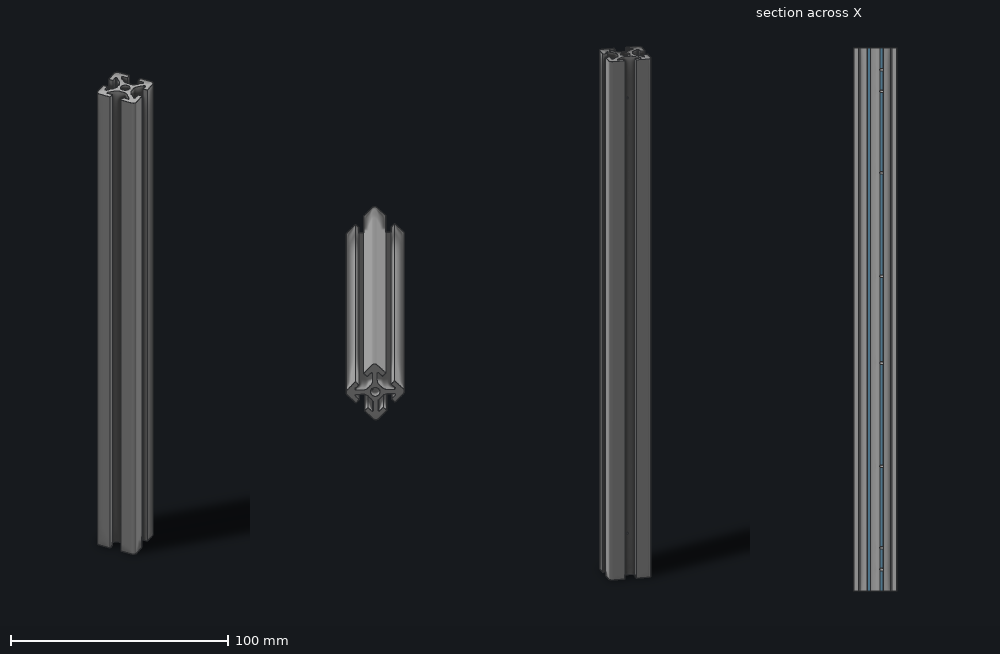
import cadquery as cq
import math

length = 250.0
width = 20.0
corner_radius = 1.8

slot_width = 5.5
lip_thickness = 2.2
arm_offset = 1.5
chamber_width = 11.0
core_half = 3.8
floor_width = 2.0
bore_diameter = 4.2

pin_hole_diameter = 1.0
front_hole_heights = [10.0, 20.0, 57.5, 105.0, 145.0, 192.5, 230.0, 240.0]
left_hole_heights = [20.0, 230.0]


def slot_cutter():
    """T-slot opening toward +Y, running the full length."""
    half = width / 2
    mouth = slot_width / 2
    lip_y = half - lip_thickness
    wall = chamber_width / 2
    flat = floor_width / 2

    tangent = core_half - arm_offset - flat
    radius = tangent / math.tan(math.radians(22.5))
    end_x = flat + tangent * (1 + math.sqrt(0.5))
    end_y = core_half + tangent * math.sqrt(0.5)
    mid_x = flat + radius * math.sin(math.radians(22.5))
    mid_y = core_half + radius * (1 - math.cos(math.radians(22.5)))

    return (
        cq.Workplane("XY")
        .moveTo(-flat, core_half)
        .lineTo(flat, core_half)
        .threePointArc((mid_x, mid_y), (end_x, end_y))
        .lineTo(wall, wall + arm_offset)
        .lineTo(wall, lip_y)
        .lineTo(mouth, lip_y)
        .lineTo(mouth, half)
        .lineTo(-mouth, half)
        .lineTo(-mouth, lip_y)
        .lineTo(-wall, lip_y)
        .lineTo(-wall, wall + arm_offset)
        .lineTo(-end_x, end_y)
        .threePointArc((-mid_x, mid_y), (-flat, core_half))
        .close()
        .extrude(length)
    )


def pin_hole(height, direction):
    """Small radial hole from the axis bore out through one slot floor."""
    return cq.Workplane(
        cq.Solid.makeCylinder(
            pin_hole_diameter / 2, width / 2, cq.Vector(0, 0, height), direction
        )
    )


result = (
    cq.Workplane("XY")
    .rect(width, width)
    .extrude(length)
    .edges("|Z")
    .fillet(corner_radius)
)

for angle in (0, 90, 180, 270):
    result = result.cut(slot_cutter().rotate((0, 0, 0), (0, 0, 1), angle))

result = result.cut(cq.Workplane("XY").circle(bore_diameter / 2).extrude(length))

for height in front_hole_heights:
    result = result.cut(pin_hole(height, cq.Vector(0, -1, 0)))
for height in left_hole_heights:
    result = result.cut(pin_hole(height, cq.Vector(-1, 0, 0)))